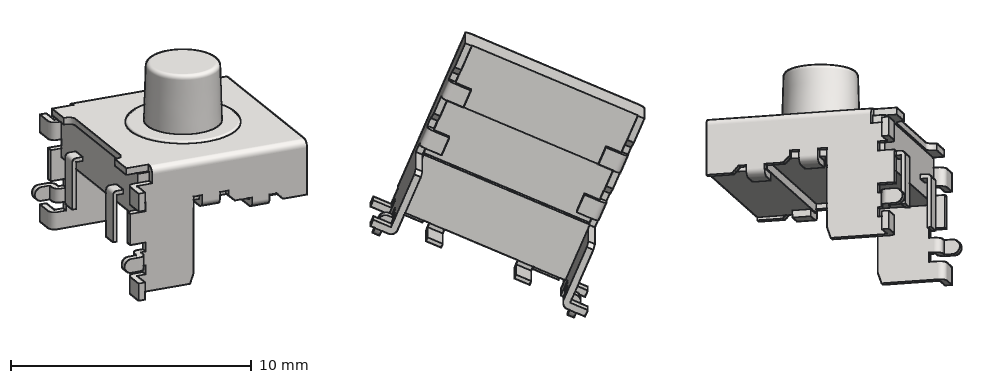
import cadquery as cq

BUTTON_TOP_Z = 8.2
COVER_TOP_Z = 5.5
SHEET = 0.3
COVER_UNDER_Z = COVER_TOP_Z - SHEET

COVER_HALF_WIDTH = 4.05
INNER_HALF_WIDTH = COVER_HALF_WIDTH - SHEET
REAR_Y = 3.8
FRONT_Y = -4.3
BEND_END_Y = -3.3
LIP_HALF_WIDTH = 3.65
RECESS_HALF_WIDTH = 2.5
RECESS_Y = -3.9
RECESS_FILLET = 0.3

REAR_FOOT_Z = 3.08
REAR_FOOT_Y = 2.69
REAR_TAB_EDGE_Z = 3.38
REAR_TAB_EDGE_START_Y = 2.4
REAR_TAB_EDGE_END_Y = 0.49
MID_TAB_EDGE_Z = 3.88
MID_TAB_EDGE_Y = 0.21
MID_TAB_SLOPE_TOP_Z = 3.64
LEG_REAR_Y = -1.4
LEG_TAPER_Y = -1.56
LEG_TAPER_Z = 0.46
SLOT_Y = -3.6

UPPER_TAB_Z = (4.0, 4.8)
FLAT_TAB_Z = (2.2, 3.6)
PEG_Z = (1.175, 1.8)
LOWER_TAB_Z = (0.0, 0.775)
TAB_TIP_X = 4.85
PEG_OUTER_X = 4.55
PEG_STEP_Y = -3.82
PEG_TIP_Y = -4.8

RETAINER_TIP_X = 3.05
REAR_RETAINER_Y = (1.29, 2.08)
MID_RETAINER_Y = (-1.0, -0.19)

HOUSING_FRONT_Y = -3.82
HOUSING_BOTTOM_Z = 3.2
CHANNEL_Y = (-1.25, 1.25)
CHANNEL_TOP_Z = 3.6

TERMINAL_X = 2.0
TERMINAL_WIDTH = 0.69
TERMINAL_THICKNESS = 0.18
TERMINAL_TOP_Z = 3.98
TERMINAL_BOTTOM_Z = 1.7
TERMINAL_EMBED = 0.3

COLLAR_RADIUS = 2.4
COLLAR_HEIGHT = 0.1
BUTTON_BASE_RADIUS = 1.63
BUTTON_TOP_RADIUS = 1.55
BUTTON_FILLET = 0.2


def box(x_range, y_range, z_range):
    """Axis-aligned box spanning three (low, high) ranges."""
    size = [high - low for low, high in (x_range, y_range, z_range)]
    corner = (x_range[0], y_range[0], z_range[0])
    return cq.Workplane("XY").box(*size, centered=False).translate(corner)


def make_top_plate():
    """Cover top with rounded side bends and a recessed front lip."""
    rear = (
        cq.Workplane("XZ", origin=(0, REAR_Y, 0))
        .moveTo(-COVER_HALF_WIDTH, COVER_UNDER_Z)
        .radiusArc((-INNER_HALF_WIDTH, COVER_TOP_Z), SHEET)
        .lineTo(INNER_HALF_WIDTH, COVER_TOP_Z)
        .radiusArc((COVER_HALF_WIDTH, COVER_UNDER_Z), SHEET)
        .close()
        .extrude(REAR_Y - BEND_END_Y)
    )
    lip = box(
        (-LIP_HALF_WIDTH, LIP_HALF_WIDTH), (FRONT_Y, BEND_END_Y), (COVER_UNDER_Z, COVER_TOP_Z)
    )
    recess = box(
        (-RECESS_HALF_WIDTH, RECESS_HALF_WIDTH), (FRONT_Y, RECESS_Y), (COVER_UNDER_Z, COVER_TOP_Z)
    )
    recess = recess.edges("|Z and >Y").fillet(RECESS_FILLET)
    return rear.union(lip.cut(recess))


def make_wall():
    """Flat side wall on +X, up to the roots of the front tabs."""
    outline = [
        (REAR_Y, COVER_UNDER_Z),
        (REAR_Y, REAR_FOOT_Z),
        (REAR_FOOT_Y, REAR_FOOT_Z),
        (REAR_TAB_EDGE_START_Y, REAR_TAB_EDGE_Z),
        (REAR_TAB_EDGE_END_Y, REAR_TAB_EDGE_Z),
        (MID_TAB_EDGE_Y, MID_TAB_SLOPE_TOP_Z),
        (MID_TAB_EDGE_Y, MID_TAB_EDGE_Z),
        (LEG_REAR_Y, MID_TAB_EDGE_Z),
        (LEG_REAR_Y, LEG_TAPER_Z),
        (LEG_TAPER_Y, LOWER_TAB_Z[0]),
        (SLOT_Y, LOWER_TAB_Z[0]),
        (SLOT_Y, UPPER_TAB_Z[1]),
        (BEND_END_Y, UPPER_TAB_Z[1]),
        (BEND_END_Y, COVER_UNDER_Z),
    ]
    wall = cq.Workplane("YZ").polyline(outline).close().extrude(SHEET)
    return wall.translate((INNER_HALF_WIDTH, 0, 0))


def make_solder_tab(z_range):
    """Front tab on +X folded outwards."""
    arm = box((INNER_HALF_WIDTH, COVER_HALF_WIDTH), (FRONT_Y, SLOT_Y), z_range)
    foot = box((INNER_HALF_WIDTH, TAB_TIP_X), (FRONT_Y, FRONT_Y + SHEET), z_range)
    return arm.union(foot).edges("|Z and <X and <Y").fillet(SHEET)


def make_peg():
    """Joggled locating peg on +X with a rounded tip."""
    step_front_y = PEG_STEP_Y - SHEET
    joggle = (
        cq.Workplane("XY", origin=(0, 0, PEG_Z[0]))
        .moveTo(INNER_HALF_WIDTH, SLOT_Y)
        .lineTo(INNER_HALF_WIDTH, PEG_STEP_Y)
        .radiusArc((COVER_HALF_WIDTH, step_front_y), -SHEET)
        .lineTo(PEG_OUTER_X, step_front_y)
        .radiusArc((PEG_OUTER_X - SHEET, PEG_STEP_Y), -SHEET)
        .lineTo(COVER_HALF_WIDTH, PEG_STEP_Y)
        .lineTo(COVER_HALF_WIDTH, SLOT_Y)
        .close()
        .extrude(PEG_Z[1] - PEG_Z[0])
    )

    tip_radius = (PEG_Z[1] - PEG_Z[0]) / 2
    tip_center_y = PEG_TIP_Y + tip_radius
    finger = (
        cq.Workplane("YZ")
        .moveTo(step_front_y, PEG_Z[0])
        .lineTo(tip_center_y, PEG_Z[0])
        .threePointArc((PEG_TIP_Y, PEG_Z[0] + tip_radius), (tip_center_y, PEG_Z[1]))
        .lineTo(step_front_y, PEG_Z[1])
        .close()
        .extrude(SHEET)
        .translate((PEG_OUTER_X - SHEET, 0, 0))
    )
    return joggle.union(finger)


def make_retainer(y_range, top_z, wall_edge_z):
    """Tab on +X hanging from a wall edge and folded inwards with its upper face at top_z."""
    bottom_z = top_z - SHEET
    stem = box((INNER_HALF_WIDTH, COVER_HALF_WIDTH), y_range, (bottom_z, wall_edge_z))
    flap = box((RETAINER_TIP_X, COVER_HALF_WIDTH), y_range, (bottom_z, top_z))
    return stem.union(flap).edges("|Y and >X and <Z").fillet(SHEET)


def make_side():
    """Complete +X side of the cover."""
    flat_tab = box((INNER_HALF_WIDTH, COVER_HALF_WIDTH), (FRONT_Y, SLOT_Y), FLAT_TAB_Z)
    return (
        make_wall()
        .union(flat_tab)
        .union(make_solder_tab(UPPER_TAB_Z))
        .union(make_solder_tab(LOWER_TAB_Z))
        .union(make_peg())
        .union(make_retainer(REAR_RETAINER_Y, HOUSING_BOTTOM_Z, REAR_TAB_EDGE_Z))
        .union(make_retainer(MID_RETAINER_Y, CHANNEL_TOP_Z, MID_TAB_EDGE_Z))
    )


def make_housing():
    """Plastic block with a channel across its underside."""
    x_range = (-INNER_HALF_WIDTH, INNER_HALF_WIDTH)
    block = box(x_range, (HOUSING_FRONT_Y, REAR_Y), (HOUSING_BOTTOM_Z, COVER_UNDER_Z))
    return block.cut(box(x_range, CHANNEL_Y, (HOUSING_BOTTOM_Z, CHANNEL_TOP_Z)))


def make_terminal(center_x):
    """Terminal that leaves the housing front and bends down."""
    x_range = (center_x - TERMINAL_WIDTH / 2, center_x + TERMINAL_WIDTH / 2)
    arm = box(
        x_range,
        (FRONT_Y, HOUSING_FRONT_Y + TERMINAL_EMBED),
        (TERMINAL_TOP_Z - TERMINAL_THICKNESS, TERMINAL_TOP_Z),
    )
    blade = box(
        x_range, (FRONT_Y, FRONT_Y + TERMINAL_THICKNESS), (TERMINAL_BOTTOM_Z, TERMINAL_TOP_Z)
    )
    return arm.union(blade).edges("|X and <Y and >Z").fillet(TERMINAL_THICKNESS)


def make_button():
    """Tapered button on a collar that passes through the cover."""
    collar = cq.Workplane("XY", origin=(0, 0, COVER_UNDER_Z)).circle(COLLAR_RADIUS)
    collar = collar.extrude(SHEET + COLLAR_HEIGHT).faces(">Z").edges().fillet(COLLAR_HEIGHT)
    stem = (
        cq.Workplane("YZ")
        .moveTo(0, COVER_TOP_Z)
        .lineTo(-BUTTON_BASE_RADIUS, COVER_TOP_Z)
        .lineTo(-BUTTON_TOP_RADIUS, BUTTON_TOP_Z)
        .lineTo(0, BUTTON_TOP_Z)
        .close()
        .revolve(360, (0, 0, 0), (0, 1, 0))
    )
    return collar.union(stem.faces(">Z").edges().fillet(BUTTON_FILLET))


side = make_side()
result = make_top_plate().union(side).union(side.mirror("YZ")).union(make_housing())
for terminal_x in (-TERMINAL_X, TERMINAL_X):
    result = result.union(make_terminal(terminal_x))
result = result.union(make_button())